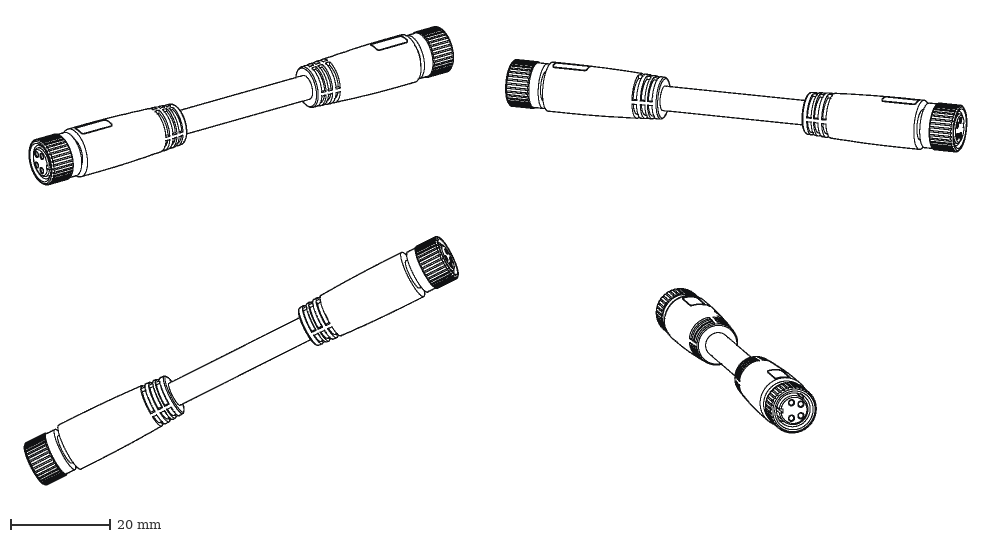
import cadquery as cq


overall_length = 95.4
half_length = overall_length / 2
cable_radius = 2.5

nut_radius = 4.75
nut_length = 5.0
nut_edge_chamfer = 0.35
knurl_count = 36
knurl_groove_radius = 0.15
collar_radius = 4.55
collar_end = 7.0
nut_back_bevel = nut_radius - collar_radius
bore_radius = 3.5
bore_mouth_radius = 4.0
bore_depth = 5.0

neck_radius = 3.1

grip_radius = 5.0
grip_start = 8.1
taper_start = 12.95
taper_middle = 22.6
taper_middle_radius = 4.78
grip_end = 32.3
grip_end_radius = 4.25
grip_end_chamfer = 0.25

groove_starts = (27.0, 28.75, 30.25)
groove_width = 0.95
groove_floor_radius = 3.8
bridge_width = 0.8

carrier_radius = 3.0
carrier_chamfer = 0.3
socket_radius = 0.5
socket_mouth_radius = 0.65
socket_depth = 4.0
socket_centres = ((-1.45, 1.2), (-1.45, -1.2), (0.5, 1.6), (0.5, -1.6))
key_width = 0.8
key_depth = 0.7

label_start = 8.95
label_length = 7.3
label_width = 3.1
label_depth = 0.15
label_corner_radius = 0.5


def along_axis(profile):
    """Revolve a closed (radius, distance) XY profile about the Y axis."""
    return profile.close().revolve(360, (0, 0, 0), (0, 1, 0))


def ring(inner_radius, outer_radius, start, length):
    """Return a plain ring around the axis."""
    outline = cq.Workplane("XY").moveTo(inner_radius, start).lineTo(outer_radius, start)
    return along_axis(outline.lineTo(outer_radius, start + length).lineTo(inner_radius, start + length))


def make_outer_body():
    """Return nut, collar, neck, grip and half of the cable as one turned solid."""
    outline = (
        cq.Workplane("XY")
        .moveTo(0, 0)
        .lineTo(nut_radius - nut_edge_chamfer, 0)
        .lineTo(nut_radius, nut_edge_chamfer)
        .lineTo(nut_radius, nut_length - nut_back_bevel)
        .lineTo(collar_radius, nut_length)
        .lineTo(collar_radius, collar_end)
        .lineTo(neck_radius, collar_end)
        .lineTo(neck_radius, grip_start)
        .lineTo(grip_radius, grip_start)
        .lineTo(grip_radius, taper_start)
        .threePointArc((taper_middle_radius, taper_middle), (grip_end_radius, grip_end - grip_end_chamfer))
        .lineTo(grip_end_radius - grip_end_chamfer, grip_end)
        .lineTo(cable_radius, grip_end)
        .lineTo(cable_radius, half_length)
        .lineTo(0, half_length)
    )
    return along_axis(outline)


def cut_knurl(body):
    """Cut lengthwise grooves around the nut, half a step off the X and Z axes."""
    step = 360 / knurl_count
    for index in range(knurl_count):
        groove = (
            cq.Workplane("XZ")
            .center(nut_radius, 0)
            .circle(knurl_groove_radius)
            .extrude(-nut_length)
            .rotate((0, 0, 0), (0, 1, 0), (index + 0.5) * step)
        )
        body = body.cut(groove)
    return body


def cut_bore(body):
    """Cut the annular socket between nut and carrier, with a flared mouth."""
    flare = bore_mouth_radius - bore_radius
    bore = (
        cq.Workplane("XY")
        .moveTo(carrier_radius - carrier_chamfer, 0)
        .lineTo(bore_mouth_radius, 0)
        .lineTo(bore_radius, flare)
        .lineTo(bore_radius, bore_depth)
        .lineTo(carrier_radius, bore_depth)
        .lineTo(carrier_radius, carrier_chamfer)
    )
    return body.cut(along_axis(bore))


def make_socket():
    """Return the cutter for one contact hole with a countersunk mouth."""
    countersink_depth = socket_mouth_radius - socket_radius
    outline = (
        cq.Workplane("XY")
        .moveTo(0, 0)
        .lineTo(socket_mouth_radius, 0)
        .lineTo(socket_radius, countersink_depth)
        .lineTo(socket_radius, socket_depth)
        .lineTo(0, socket_depth)
    )
    return along_axis(outline)


def cut_carrier_details(body):
    """Cut the contact sockets and the keyway into the carrier."""
    for x, z in socket_centres:
        body = body.cut(make_socket().translate((x, 0, z)))
    keyway = (
        cq.Workplane("XZ")
        .center(carrier_radius - key_depth / 2, 0)
        .rect(key_depth, key_width)
        .extrude(-bore_depth)
    )
    return body.cut(keyway)


def cut_strain_relief(body):
    """Cut the bridged grooves near the cable end of the grip."""
    reach = 2 * grip_radius
    bridges = cq.Workplane("XZ").rect(reach, bridge_width).extrude(-half_length)
    bridges = bridges.union(cq.Workplane("XZ").rect(bridge_width, reach).extrude(-half_length))
    for start in groove_starts:
        groove = ring(groove_floor_radius, grip_radius, start, groove_width)
        body = body.cut(groove.cut(bridges))
    return body


def cut_label(body):
    """Cut the label recess, its floor following the round grip."""
    window = (
        cq.Workplane("XY")
        .center(0, label_start + label_length / 2)
        .rect(label_width, label_length)
        .extrude(grip_radius)
        .edges("|Z")
        .fillet(label_corner_radius)
    )
    skin = ring(grip_radius - label_depth, grip_radius, label_start, label_length)
    return body.cut(window.intersect(skin))


def make_half():
    """Return one connector with half the cable, its outer face at Y = 0."""
    half = make_outer_body()
    half = cut_knurl(half)
    half = cut_bore(half)
    half = cut_carrier_details(half)
    half = cut_strain_relief(half)
    return cut_label(half)


front_half = make_half().translate((0, -half_length, 0))
back_half = front_half.mirror("XZ")
result = front_half.union(back_half)